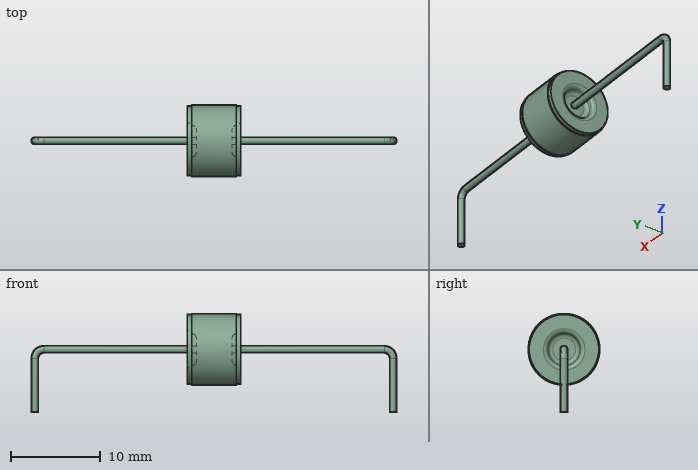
import cadquery as cq
import math

BODY_DIAMETER = 8.0
BODY_LENGTH = 6.0
END_BAND_DIAMETER = 7.78
END_BAND_LENGTH = 0.5

RECESS_MOUTH_DIAMETER = 3.864
RECESS_DEPTH = 1.0
RECESS_TAPER = 15.0
RECESS_ROUND_RADIUS = 0.5

LEAD_DIAMETER = 0.8
LEAD_SPAN = 40.8
LEAD_BEND_RADIUS = 1.0
LEAD_DROP = 7.0


def x_cylinder(diameter, length):
    """Cylinder along X, centred on the origin."""
    return cq.Workplane("YZ", origin=(-length / 2, 0, 0)).circle(diameter / 2).extrude(length)


def make_drum():
    """Drum with a slightly smaller band at each end."""
    middle = x_cylinder(BODY_DIAMETER, BODY_LENGTH - 2 * END_BAND_LENGTH)
    return middle.union(x_cylinder(END_BAND_DIAMETER, BODY_LENGTH))


def make_recess():
    """Cutter for the recess in the -X end face, narrowing towards its floor."""
    face_x = -BODY_LENGTH / 2
    floor_x = face_x + RECESS_DEPTH
    mouth_radius = RECESS_MOUTH_DIAMETER / 2
    floor_radius = mouth_radius - RECESS_DEPTH * math.tan(math.radians(RECESS_TAPER))
    profile = cq.Workplane("XZ").polyline(
        [(face_x, 0), (face_x, mouth_radius), (floor_x, floor_radius), (floor_x, 0)]
    )
    return profile.close().revolve(360, (0, 0, 0), (1, 0, 0))


def is_recess_rim(edge):
    """True for the mouth and floor circles of the recesses, the smallest circles on the body."""
    return edge.geomType() == "CIRCLE" and 2 * edge.radius() < BODY_DIAMETER / 2


def make_body():
    """Drum with a rounded recess in both end faces."""
    recess = make_recess()
    body = make_drum().cut(recess).cut(recess.mirror("YZ"))
    return body.edges().filter(is_recess_rim).fillet(RECESS_ROUND_RADIUS)


def make_lead():
    """Lead on the -X side: out from the body centre, round the bend and down to the tip."""
    leg_x = -(LEAD_SPAN - LEAD_DIAMETER) / 2
    path = (
        cq.Workplane("XZ")
        .lineTo(leg_x + LEAD_BEND_RADIUS, 0)
        .tangentArcPoint((leg_x, -LEAD_BEND_RADIUS), relative=False)
        .lineTo(leg_x, -LEAD_DROP)
    )
    return cq.Workplane("YZ").circle(LEAD_DIAMETER / 2).sweep(path)


lead = make_lead()
result = make_body().union(lead).union(lead.mirror("YZ"))